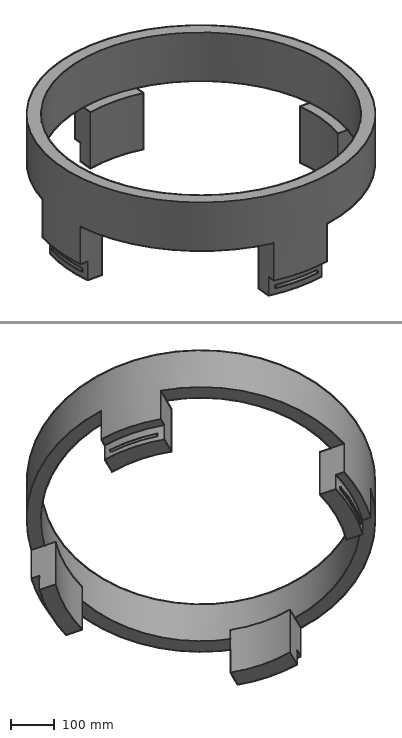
import cadquery as cq

outer_radius = 400.0
ring_inner_radius = 367.0
total_height = 280.0
ring_height = 130.0

leg_width = 150.0
leg_inner_radius = 340.0
leg_height = total_height - ring_height
leg_angles = (0, 90, 180, 270)

foot_radius = 380.0
foot_height = 50.0

rib_length = 120.0
rib_radius = 5.0
rib_projection = 3.0
rib_center_height = 20.0
rib_path_radius = foot_radius + rib_projection - rib_radius


def tube(outer, inner, bottom, height):
    """Tube around the Z axis, starting at height `bottom`."""
    return cq.Workplane("XY").workplane(offset=bottom).circle(outer).circle(inner).extrude(height)


def cross_bars(width):
    """Two crossed bars through the axis, one along X and one along Y."""
    span = 2 * outer_radius + width
    bar = cq.Workplane("XY").box(span, width, total_height, centered=(True, True, False))
    return bar.union(bar.rotate((0, 0, 0), (0, 0, 1), 90))


def make_legs():
    """Four legs below the ring, each stepped back at its foot."""
    upper = tube(outer_radius, leg_inner_radius, foot_height, leg_height - foot_height)
    foot = tube(foot_radius, leg_inner_radius, 0, foot_height)
    return upper.union(foot).intersect(cross_bars(leg_width))


def make_rib():
    """Rib on the +X foot: a half-round hoop sunk into the foot, trimmed to a slot outline."""
    hoop = (
        cq.Workplane("XZ")
        .center(rib_path_radius, rib_center_height)
        .moveTo(0, -rib_radius)
        .threePointArc((rib_radius, 0), (0, rib_radius))
        .close()
        .revolve(360, (-rib_path_radius, 0, 0), (-rib_path_radius, 1, 0))
    )
    slot_outline = (
        cq.Workplane("YZ")
        .center(0, rib_center_height)
        .slot2D(rib_length, 2 * rib_radius)
        .extrude(outer_radius)
    )
    return hoop.intersect(slot_outline)


result = tube(outer_radius, ring_inner_radius, leg_height, ring_height).union(make_legs())
rib = make_rib()
for angle in leg_angles:
    result = result.union(rib.rotate((0, 0, 0), (0, 0, 1), angle))